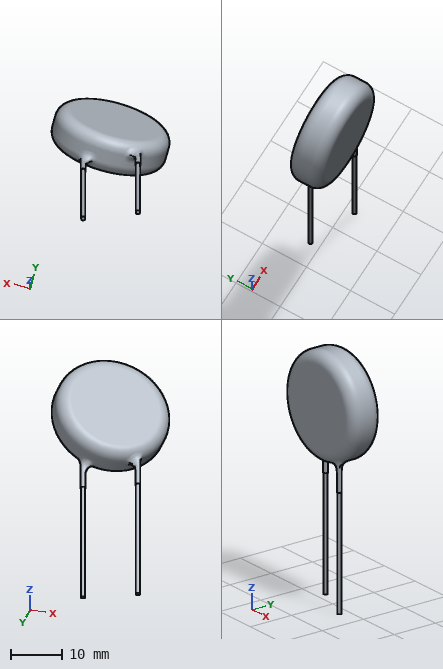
import cadquery as cq

total_height = 53.4
disc_diameter = 23.0
disc_thickness = 7.3
rim_radius = 2.45

lead_diameter = 0.85
lead_x = 4.95
lead_y = 2.05

sleeve_diameter = 1.0
sleeve_bottom = 25.45
flare_radius = 2.0

disc_center_z = total_height - disc_diameter / 2


def make_disc():
    """Flat round body with both rims rounded."""
    return (
        cq.Workplane("XZ", origin=(0, disc_thickness / 2, disc_center_z))
        .circle(disc_diameter / 2)
        .extrude(disc_thickness)
        .faces("<Y or >Y")
        .edges()
        .fillet(rim_radius)
    )


def make_pins(diameter, bottom):
    """Two diagonally placed round pins that end inside the disc."""
    return (
        cq.Workplane("XY", origin=(0, 0, bottom))
        .pushPoints([(-lead_x, lead_y), (lead_x, -lead_y)])
        .circle(diameter / 2)
        .extrude(disc_center_z - bottom)
    )


def is_sleeve_joint(edge):
    """True for the curved edges narrower than the lead offset where it runs into the disc."""
    box = edge.BoundingBox()
    above_sleeve_end = box.zmin > sleeve_bottom
    narrow = box.xlen < lead_x
    return above_sleeve_end and narrow and edge.geomType() != "LINE"


coated_body = make_disc().union(make_pins(sleeve_diameter, sleeve_bottom))
joints = [edge for edge in coated_body.edges().vals() if is_sleeve_joint(edge)]
coated_body = coated_body.newObject(joints).fillet(flare_radius)

result = coated_body.union(make_pins(lead_diameter, 0))